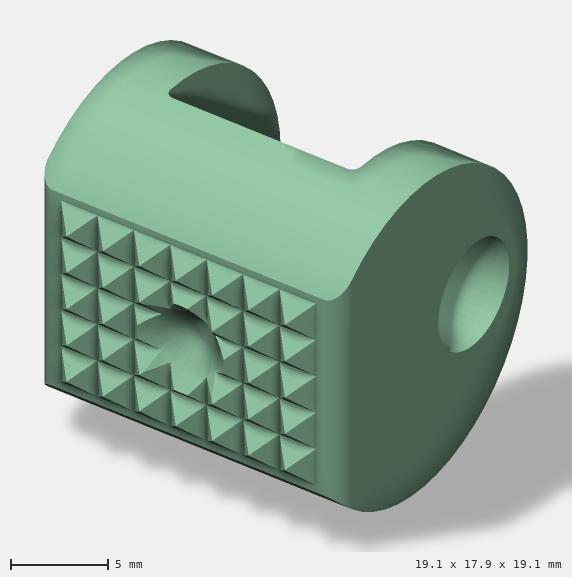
import cadquery as cq

body_diameter = 19.05
body_width = 19.05
arm_thickness = 3.545
slot_floor_y = -0.857
slot_corner_radius = 0.508
pivot_hole_diameter = 6.35
pivot_hole_y = 4.699
face_edge_radius = 1.016

tooth_pitch = 2.286
tooth_columns = 7
tooth_rows = 5
total_depth = 17.93

dimple_diameter = 6.35

body_radius = body_diameter / 2
slot_width = body_width - 2 * arm_thickness
tooth_height = tooth_pitch / 2
tip_y = body_radius - total_depth
face_y = tip_y + tooth_height
dimple_radius = dimple_diameter / 2
dimple_depth = dimple_radius


def cylinder_along_x(diameter, center_y):
    """Cylinder spanning the body width, parallel to X."""
    return (
        cq.Workplane("YZ")
        .center(center_y, 0)
        .circle(diameter / 2)
        .extrude(body_width / 2, both=True)
    )


def box_between(width, start_y, end_y):
    """Box centred on X and Z, as tall as the body, between two Y positions."""
    length = end_y - start_y
    return cq.Workplane("XY").box(width, length, body_diameter).translate((0, start_y + length / 2, 0))


def make_body():
    """Round body with a flat gripping face and rounded face ends."""
    round_body = cylinder_along_x(body_diameter, 0)
    envelope = box_between(body_width, face_y, body_radius)
    envelope = envelope.edges("|Z and <Y").fillet(face_edge_radius)
    return round_body.intersect(envelope)


def make_slot():
    """Clearance between the arms, open to +Y, with rounded floor corners."""
    slot = box_between(slot_width, slot_floor_y, body_diameter)
    return slot.edges("|Z and <Y").fillet(slot_corner_radius)


def make_ridges(plane, count, cross_count):
    """Parallel 45 degree ridges on the face, rooted below it so that they join the body.

    The profile lies in the given plane; the ridges run across it for cross_count pitches.
    """
    half_span = count * tooth_pitch / 2
    root_y = face_y + tooth_height
    points = [(-half_span, root_y), (-half_span, face_y)]
    for index in range(count):
        valley = -half_span + index * tooth_pitch
        points.append((valley + tooth_pitch / 2, tip_y))
        points.append((valley + tooth_pitch, face_y))
    points.append((half_span, root_y))
    profile = cq.Workplane(plane).polyline(points).close()
    return profile.extrude(cross_count * tooth_pitch / 2, both=True)


def make_teeth():
    """Grid of pyramids, formed where ridges along Z and ridges along X overlap."""
    vertical_ridges = make_ridges("XY", tooth_columns, tooth_rows)
    horizontal_ridges = make_ridges("ZY", tooth_rows, tooth_columns)
    return vertical_ridges.intersect(horizontal_ridges)


def make_dimple():
    """Cone entering the gripping face along +Y."""
    cone = cq.Solid.makeCone(
        dimple_radius, 0, dimple_depth, pnt=cq.Vector(0, tip_y, 0), dir=cq.Vector(0, 1, 0)
    )
    return cq.Workplane(obj=cone)


result = (
    make_body()
    .cut(make_slot())
    .cut(cylinder_along_x(pivot_hole_diameter, pivot_hole_y))
    .union(make_teeth())
    .cut(make_dimple())
)